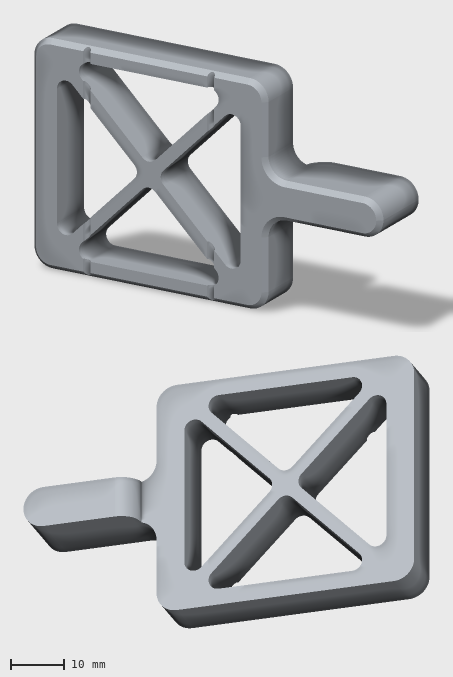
import cadquery as cq

TOTAL_LENGTH = 76.0
FRAME_WIDTH = 51.0
FRAME_HEIGHT = 46.0
FRAME_DEPTH = 10.0
CORNER_RADIUS = 4.0
FRONT_CHAMFER = 1.0

HANDLE_WIDTH = 8.0
HANDLE_DEPTH = 14.0
NECK_RADIUS = 4.0
STEP_SETBACK = 3.0

WINDOW_SPAN_X = 40.0
WINDOW_SPAN_Z = 39.5
CROSS_BAR_WIDTH = 2.5
WINDOW_RADIUS = 2.0

GROOVE_SPACING = 27.0
GROOVE_RADIUS = 0.75

CLEARANCE = 0.01
FRAME_SIDE = FRAME_WIDTH / 2
HANDLE_END = TOTAL_LENGTH - FRAME_SIDE


def extrude_back(sketch, depth):
    """Extrude an XZ sketch from the front face toward +Y."""
    return sketch.extrude(-depth)


def make_plate():
    """Frame and handle at frame depth, joined by a rounded neck."""
    frame = extrude_back(cq.Workplane("XZ").rect(FRAME_WIDTH, FRAME_HEIGHT), FRAME_DEPTH)
    frame = frame.edges("|Y").fillet(CORNER_RADIUS)
    handle = extrude_back(
        cq.Workplane("XZ").center(HANDLE_END / 2, 0).rect(HANDLE_END, HANDLE_WIDTH), FRAME_DEPTH
    )
    handle = handle.edges("|Y and >X").fillet(HANDLE_WIDTH / 2 - CLEARANCE)
    plate = frame.union(handle)
    neck = cq.selectors.BoxSelector(
        (FRAME_SIDE - CLEARANCE, 0, -HANDLE_WIDTH),
        (FRAME_SIDE + CLEARANCE, FRAME_DEPTH, HANDLE_WIDTH),
    )
    plate = plate.edges("|Y").edges(neck).fillet(NECK_RADIUS)
    return plate


def make_raised_grip(plate):
    """Deepen the plate's own outline, keeping only the handle behind a rounded step."""
    step = FRAME_SIDE + STEP_SETBACK
    rise = HANDLE_DEPTH - FRAME_DEPTH
    rear_outline = plate.faces(">Y").wires().toPending()
    deep_outline = rear_outline.extrude(-rise, combine=False)
    profile = (
        cq.Workplane("XY")
        .workplane(offset=-FRAME_HEIGHT / 2)
        .moveTo(step, FRAME_DEPTH)
        .radiusArc((step + rise, HANDLE_DEPTH), rise)
        .lineTo(HANDLE_END, HANDLE_DEPTH)
        .lineTo(HANDLE_END, FRAME_DEPTH)
        .close()
        .extrude(FRAME_HEIGHT)
    )
    return deep_outline.intersect(profile)


def triangular_window(half_span, turn):
    """Window whose tip points at the cross centre and whose base is half_span away."""
    tip = CROSS_BAR_WIDTH / 2**0.5
    half_base = half_span - tip
    outline = cq.Workplane("XZ").polyline([(tip, 0), (half_span, half_base), (half_span, -half_base)]).close()
    window = extrude_back(outline, FRAME_DEPTH).edges("|Y").fillet(WINDOW_RADIUS)
    return window.rotate((0, 0, 0), (0, 1, 0), turn)


plate = make_plate()
result = plate.faces("<Y").chamfer(FRONT_CHAMFER).union(make_raised_grip(plate))

for turn in (0, 180):
    result = result.cut(triangular_window(WINDOW_SPAN_X / 2, turn))
    result = result.cut(triangular_window(WINDOW_SPAN_Z / 2, turn + 90))

for groove_x in (-GROOVE_SPACING / 2, GROOVE_SPACING / 2):
    groove = cq.Workplane("XY").center(groove_x, 0).circle(GROOVE_RADIUS).extrude(FRAME_HEIGHT / 2, both=True)
    result = result.cut(groove)